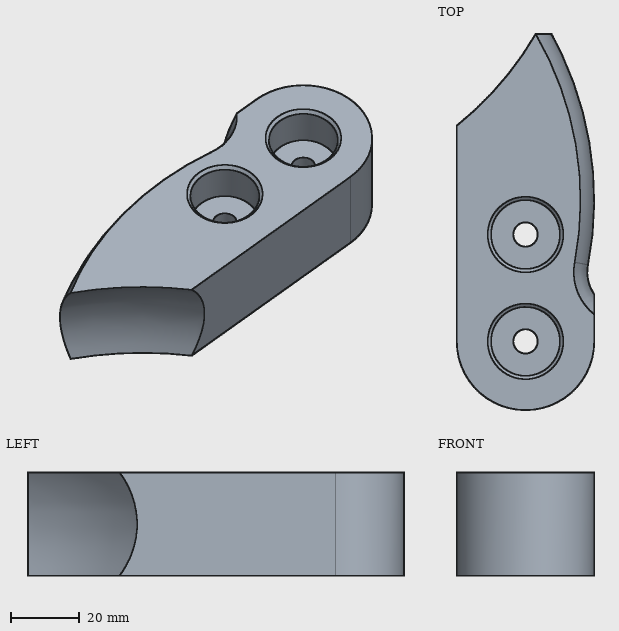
import cadquery as cq
import math

length = 109.2
height = 30.0
lobe_radius = 20.0
flank_radius = 100.0
crown_radius = height
half_pitch = 48.3
neck_radius = 11.6
neck_axis_x = 29.6
hole_pitch = 31.0
hole_diameter = 7.0
counterbore_diameter = 20.0
counterbore_depth = 13.0
counterbore_chamfer = 1.0

tip_y = length - lobe_radius
crown_rise = crown_radius - math.sqrt(crown_radius**2 - (height / 2) ** 2)
flank_axis_x = lobe_radius - flank_radius
flank_axis_y = tip_y - half_pitch
end_axis_y = tip_y + half_pitch
neck_offset_x = neck_axis_x - flank_axis_x
neck_axis_y = flank_axis_y - math.sqrt((flank_radius + neck_radius) ** 2 - neck_offset_x**2)


def crowned_disc(x, y, middle_radius, face_radius):
    """Full-height disc whose rim is an arc from face to face."""
    return (
        cq.Workplane("XZ")
        .lineTo(face_radius, 0)
        .threePointArc((middle_radius, height / 2), (face_radius, height))
        .lineTo(0, height)
        .close()
        .revolve(360, (0, 0, 0), (0, 1, 0))
        .translate((x, y, 0))
    )


def arm_blank():
    """Straight arm with one rounded end."""
    return (
        cq.Workplane("XY")
        .moveTo(-lobe_radius, tip_y)
        .lineTo(-lobe_radius, 0)
        .threePointArc((0, -lobe_radius), (lobe_radius, 0))
        .lineTo(lobe_radius, tip_y)
        .close()
        .extrude(height)
    )


def flank_waste():
    """Material outside the crowned flank, above the line joining flank and neck axes."""
    flank = crowned_disc(flank_axis_x, flank_axis_y, flank_radius, flank_radius - crown_rise)
    return (
        cq.Workplane("XY")
        .moveTo(flank_axis_x, flank_axis_y)
        .lineTo(neck_axis_x, neck_axis_y)
        .lineTo(neck_axis_x, end_axis_y)
        .lineTo(flank_axis_x, end_axis_y)
        .close()
        .extrude(height)
        .cut(flank)
    )


def bolt_hole(y):
    """Through hole with a chamfered counterbore from the top face."""
    bore_radius = counterbore_diameter / 2
    chamfer_bottom = height - counterbore_chamfer
    floor = height - counterbore_depth
    return (
        cq.Workplane("XZ")
        .lineTo(hole_diameter / 2, 0)
        .lineTo(hole_diameter / 2, floor)
        .lineTo(bore_radius, floor)
        .lineTo(bore_radius, chamfer_bottom)
        .lineTo(bore_radius + counterbore_chamfer, height)
        .lineTo(0, height)
        .close()
        .revolve(360, (0, 0, 0), (0, 1, 0))
        .translate((0, y, 0))
    )


result = arm_blank().cut(flank_waste())

result = result.cut(crowned_disc(neck_axis_x, neck_axis_y, neck_radius, neck_radius + crown_rise))

result = result.cut(crowned_disc(flank_axis_x, end_axis_y, flank_radius, flank_radius - crown_rise))

for hole_y in (0, hole_pitch):
    result = result.cut(bolt_hole(hole_y))